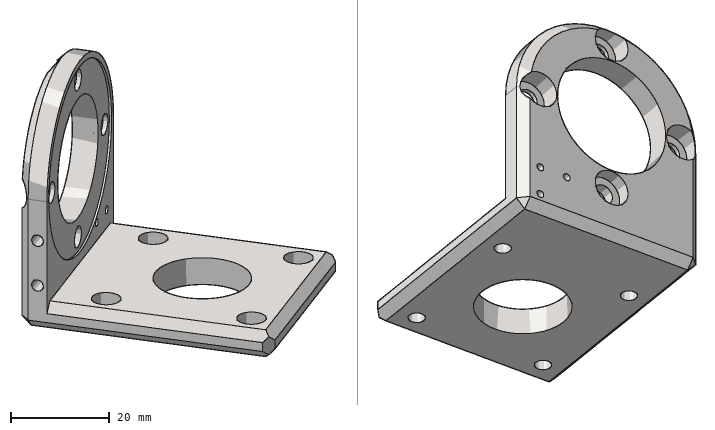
import cadquery as cq
import math

length = 54.0
width = 44.0
height = 51.0
thickness = 6.0
chamfer = 2.0

arch_radius = width / 2
bore_height = height - arch_radius
bore_diameter = 26.5
recess_diameter = 41.4
recess_depth = 0.5
upright_screw_radius = 17.5
upright_screw_diameter = 4.5
upright_counterbore_diameter = 8.0
upright_counterbore_depth = 4.5
lowest_counterbore_depth = 3.0

opening_x = 32.0
opening_diameter = 20.0
base_screw_offset = 15.5
base_screw_diameter = 3.5
base_counterbore_diameter = 6.0
base_counterbore_depth = 3.0

drill_point_angle = 118.0
edge_hole_diameter = 2.5
edge_hole_depth = 8.0
edge_hole_x = 4.0
edge_hole_heights = (10.0, 20.0)

pin_diameter = 1.6
pin_outer_y = upright_screw_radius
pin_inner_y = 11.0
pin_upper_z = 10.0
pin_lower_z = 3.5
blind_pin_depth = 6.0


def make_upright():
    """Arched plate with its -X outline and bottom side edges chamfered together."""
    plate = (
        cq.Workplane("YZ")
        .moveTo(-arch_radius, 0)
        .lineTo(arch_radius, 0)
        .lineTo(arch_radius, bore_height)
        .threePointArc((0, height), (-arch_radius, bore_height))
        .close()
        .extrude(thickness)
    )
    front_outline = cq.selectors.BoxSelector((-0.55, -width, -0.55), (0.55, width, height + 0.55))
    bottom_sides = cq.StringSyntaxSelector("|X and <Z")
    return plate.edges(front_outline + bottom_sides).chamfer(chamfer)


def make_base():
    """Flat plate beyond the upright whose chamfers run on until they meet at the +X corners."""
    plate = (
        cq.Workplane("XY")
        .box(length - thickness, width, thickness, centered=(False, True, False))
        .translate((thickness, 0, 0))
    )
    long_edges = plate.edges("|X").chamfer(chamfer)
    end_edges = plate.edges("|Y and >X").chamfer(chamfer)
    corner_edges = plate.edges("|Z and >X").chamfer(chamfer)
    return long_edges.intersect(end_edges).intersect(corner_edges)


def cylinder(diameter, depth, start, direction):
    return cq.Workplane(cq.Solid.makeCylinder(diameter / 2, depth, cq.Vector(*start), cq.Vector(*direction)))


def counterbored_hole(start, direction, hole_diameter, bore_width, bore_depth):
    """Cutter for a hole through one plate, widened at its start."""
    hole = cylinder(hole_diameter, thickness, start, direction)
    return hole.union(cylinder(bore_width, bore_depth, start, direction))


def drilled_hole(diameter, depth, start, direction):
    """Cutter for a blind hole with a conical bottom below its full-width depth."""
    radius = diameter / 2
    point_length = radius / math.tan(math.radians(drill_point_angle / 2))
    tip_start = cq.Vector(*start) + cq.Vector(*direction) * depth
    point = cq.Solid.makeCone(radius, 0, point_length, tip_start, cq.Vector(*direction))
    return cylinder(diameter, depth, start, direction).union(cq.Workplane(point))


inward_x = (1, 0, 0)
inward_y = (0, 1, 0)
downward = (0, 0, -1)

result = make_upright().union(make_base())

result = result.cut(cylinder(bore_diameter, thickness, (0, 0, bore_height), inward_x))
result = result.cut(cylinder(opening_diameter, thickness, (opening_x, 0, thickness), downward))

recess_start = (thickness - recess_depth, 0, bore_height)
result = result.cut(cylinder(recess_diameter, recess_depth, recess_start, inward_x))

for y_side, z_side, counterbore_depth in (
    (1, 0, upright_counterbore_depth),
    (0, 1, upright_counterbore_depth),
    (-1, 0, upright_counterbore_depth),
    (0, -1, lowest_counterbore_depth),
):
    start = (0, y_side * upright_screw_radius, bore_height + z_side * upright_screw_radius)
    result = result.cut(
        counterbored_hole(
            start, inward_x, upright_screw_diameter, upright_counterbore_diameter, counterbore_depth
        )
    )

for x_side in (-1, 1):
    for y_side in (-1, 1):
        start = (opening_x + x_side * base_screw_offset, y_side * base_screw_offset, thickness)
        result = result.cut(
            counterbored_hole(
                start, downward, base_screw_diameter, base_counterbore_diameter, base_counterbore_depth
            )
        )

for hole_z in edge_hole_heights:
    start = (edge_hole_x, -width / 2, hole_z)
    result = result.cut(drilled_hole(edge_hole_diameter, edge_hole_depth, start, inward_y))

for pin_y in (pin_outer_y, pin_inner_y):
    result = result.cut(cylinder(pin_diameter, thickness, (0, pin_y, pin_upper_z), inward_x))
blind_pin_start = (0, pin_outer_y, pin_lower_z)
result = result.cut(drilled_hole(pin_diameter, blind_pin_depth, blind_pin_start, inward_x))